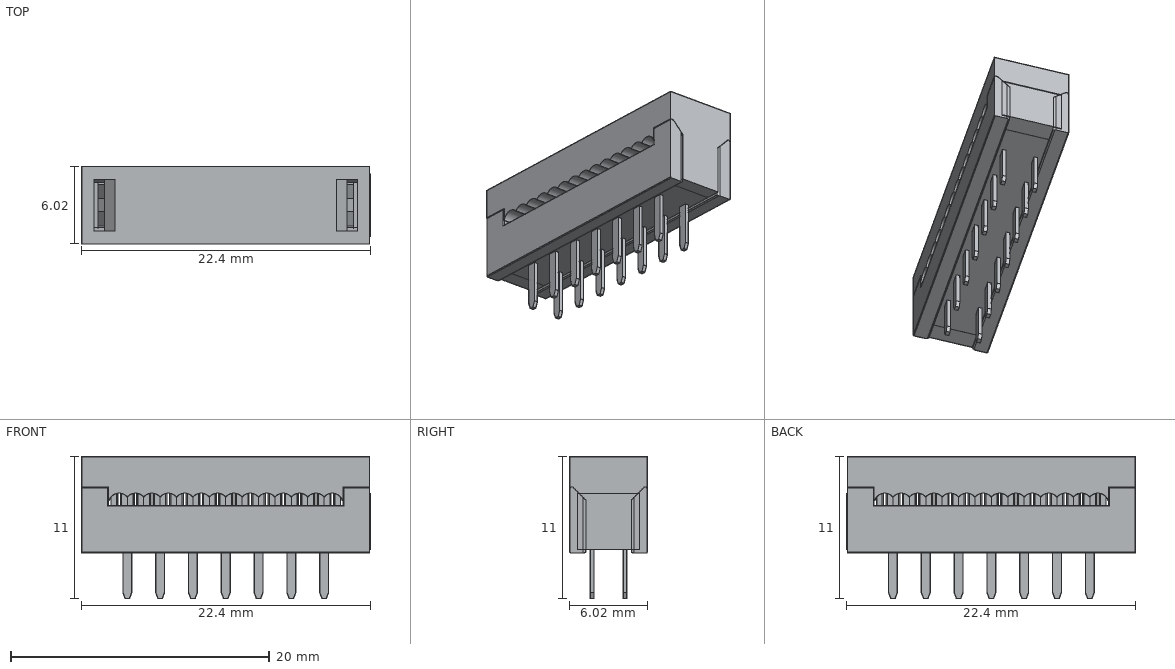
import cadquery as cq
import math


PITCH = 1.27
WIRE_COUNT = 14
LENGTH = 22.3
WIDTH = 6.02
TOP_Z = 7.47
SHOULDER_Z = TOP_Z - 2.37
PIN_TIP_Z = TOP_Z - 11.0
END_X = LENGTH / 2
SIDE_Y = WIDTH / 2

SLOT_HALF_X = 9.07
SLOT_FLOOR_Z = TOP_Z - 3.77
SCALLOP_TOP_Z = TOP_Z - 2.83
SCALLOP_RADIUS = 0.8
LIP_BOTTOM_Z = TOP_Z - 3.4
SCALLOP_AXIS_Z = SCALLOP_TOP_Z - SCALLOP_RADIUS
WIRE_X = [(i - (WIRE_COUNT - 1) / 2) * PITCH for i in range(WIRE_COUNT)]

TAB_THICKNESS = 1.25
TAB_HALF_Y = 1.76
TAB_BOTTOM_Z = 0.27
FLARE_HALF_Y = 2.76
FLARE_LOW_Z = SHOULDER_Z - (FLARE_HALF_Y - TAB_HALF_Y)
PAD_THICKNESS = 0.05
PAD_HALF_Y = 2.41
PAD_TOP_Z = TOP_Z - 2.87

WINDOW_OUTER = 0.94
WINDOW_INNER = 1.745
WINDOW_TOP_INNER = 2.56
WINDOW_TOP_HALF_Y = 1.99
WINDOW_LOW_HALF_Y = 1.75
WINDOW_TAPER_Z = SHOULDER_Z + 0.6
RAMP_LOW_Z = TOP_Z - (WINDOW_TOP_INNER - WINDOW_INNER)

HOOK_HALF_Y = 1.6
HOOK_MIDDLE_HALF_Y = 0.51
HOOK_DEPTH = WINDOW_INNER - TAB_THICKNESS
HOOK_SIDE_HEIGHT = HOOK_DEPTH * math.tan(math.radians(70))
HOOK_MIDDLE_HEIGHT = HOOK_DEPTH

EDGE_BREAK = 0.07
END_BREAK = 0.02
CORNER_CHAMFER_Y = 0.22
CORNER_CHAMFER_X = 0.1
SKIRT_CHAMFER_Y = 0.12

ROW_Y = PITCH
PIN_WIDTH = 0.7
PIN_THICKNESS = 0.3
PIN_TIP_WIDTH = 0.34
PIN_TAPER = 0.47
FORK_MOUTH_HALF = 0.2
FORK_THROAT_HALF = 0.09


def box(x0, x1, y0, y1, z0, z1):
    return cq.Workplane("XY").box(x1 - x0, y1 - y0, z1 - z0, centered=False).translate((x0, y0, z0))


def along_y(points, half_width):
    """Prism with an XZ outline, centred on Y = 0."""
    return cq.Workplane("XZ").polyline(points).close().extrude(half_width, both=True)


def along_x(points, x0, x1):
    """Prism with a YZ outline."""
    return cq.Workplane("YZ", origin=(x0, 0, 0)).polyline(points).close().extrude(x1 - x0)


def at_both_ends(shape):
    """A shape modelled at the -X end together with its mirror image at the +X end."""
    return shape.add(shape.mirror("YZ").vals()).combine()


def wire_channel():
    """Open space under the scallops, down to the slot floor."""
    channel = box(-SLOT_HALF_X, SLOT_HALF_X, -SIDE_Y, SIDE_Y, SLOT_FLOOR_Z, LIP_BOTTOM_Z)
    for x in WIRE_X:
        scallop = cq.Workplane("XZ", origin=(x, 0, SCALLOP_AXIS_Z)).circle(SCALLOP_RADIUS)
        channel = channel.union(scallop.extrude(SIDE_Y, both=True))
    limits = box(-SLOT_HALF_X, SLOT_HALF_X, -SIDE_Y, SIDE_Y, SLOT_FLOOR_Z, SHOULDER_Z)
    return channel.intersect(limits)


def end_tab():
    """Tab at the -X end; the same shape cuts the notch of the base."""
    outline = [
        (-TAB_HALF_Y, TAB_BOTTOM_Z),
        (TAB_HALF_Y, TAB_BOTTOM_Z),
        (TAB_HALF_Y, FLARE_LOW_Z),
        (FLARE_HALF_Y, SHOULDER_Z),
        (-FLARE_HALF_Y, SHOULDER_Z),
        (-TAB_HALF_Y, FLARE_LOW_Z),
    ]
    return along_x(outline, -END_X, -END_X + TAB_THICKNESS)


def window():
    """Window at the -X end: sloping inner wall, side walls drawing in near the bottom."""
    across = along_y(
        [
            (-END_X + WINDOW_OUTER, SHOULDER_Z),
            (-END_X + WINDOW_INNER, SHOULDER_Z),
            (-END_X + WINDOW_INNER, RAMP_LOW_Z),
            (-END_X + WINDOW_TOP_INNER, TOP_Z),
            (-END_X + WINDOW_OUTER, TOP_Z),
        ],
        SIDE_Y,
    )
    outer_part = along_x(
        [
            (-WINDOW_LOW_HALF_Y, SHOULDER_Z),
            (WINDOW_LOW_HALF_Y, SHOULDER_Z),
            (WINDOW_TOP_HALF_Y, WINDOW_TAPER_Z),
            (WINDOW_TOP_HALF_Y, TOP_Z),
            (-WINDOW_TOP_HALF_Y, TOP_Z),
            (-WINDOW_TOP_HALF_Y, WINDOW_TAPER_Z),
        ],
        -END_X,
        -END_X + WINDOW_INNER,
    )
    ramp_part = box(
        -END_X + WINDOW_INNER, -END_X + WINDOW_TOP_INNER,
        -WINDOW_TOP_HALF_Y, WINDOW_TOP_HALF_Y, SHOULDER_Z, TOP_Z,
    )
    return across.intersect(outer_part.union(ramp_part))


def hook():
    """Hook at the -X end: steep sides beside a 45 degree middle."""
    foot_x = -END_X + TAB_THICKNESS
    back_x = -END_X + WINDOW_INNER

    def wedge(height, half_width):
        outline = [(foot_x, SHOULDER_Z), (back_x, SHOULDER_Z), (back_x, SHOULDER_Z + height)]
        return along_y(outline, half_width)

    middle = box(foot_x, back_x, -HOOK_MIDDLE_HALF_Y, HOOK_MIDDLE_HALF_Y, SHOULDER_Z, TOP_Z)
    sides = wedge(HOOK_SIDE_HEIGHT, HOOK_HALF_Y).cut(middle)
    return sides.union(wedge(HOOK_MIDDLE_HEIGHT, HOOK_MIDDLE_HALF_Y))


def make_cover():
    cover = box(-END_X, END_X, -SIDE_Y, SIDE_Y, SHOULDER_Z, TOP_Z)
    lip = box(-SLOT_HALF_X, SLOT_HALF_X, -SIDE_Y, SIDE_Y, LIP_BOTTOM_Z, SHOULDER_Z)
    cover = cover.union(lip).union(at_both_ends(end_tab()))
    pad = box(END_X, END_X + PAD_THICKNESS, -PAD_HALF_Y, PAD_HALF_Y, TAB_BOTTOM_Z, PAD_TOP_Z)
    cover = cover.union(pad)
    return cover.cut(wire_channel()).cut(at_both_ends(window()))


def panel_face(inset, end_inset, y):
    """Wire around the long side of the base at a given Y, drawn in by the insets."""
    top = SHOULDER_Z - inset
    floor = SLOT_FLOOR_Z - inset
    slot = SLOT_HALF_X + inset
    end = END_X - end_inset
    points = [(-end, inset), (end, inset), (end, top), (slot, top)]
    points += [(slot, floor), (-slot, floor), (-slot, top), (-end, top)]
    wire = cq.Workplane("XZ", origin=(0, y, 0)).polyline(points).close()
    return wire.val()


def base_body():
    """Block with the wire slot, its two long outlines broken along every edge."""
    inner_y = SIDE_Y - EDGE_BREAK
    outline = panel_face(0, 0, inner_y)
    body = cq.Workplane(cq.Solid.extrudeLinear(outline, [], cq.Vector(0, -2 * inner_y, 0)))
    for side in (-1, 1):
        inner_face = panel_face(0, 0, side * inner_y)
        outer_face = panel_face(EDGE_BREAK, END_BREAK, side * SIDE_Y)
        rim = cq.Solid.makeLoft([inner_face, outer_face], True)
        body = body.union(cq.Workplane(rim))
    return body


def skirt_recess():
    """Recess along the underside between the two skirts, with broken edges."""
    outer = TAB_HALF_Y + SKIRT_CHAMFER_Y
    outline = [
        (-outer, 0),
        (outer, 0),
        (TAB_HALF_Y, EDGE_BREAK),
        (TAB_HALF_Y, TAB_BOTTOM_Z),
        (-TAB_HALF_Y, TAB_BOTTOM_Z),
        (-TAB_HALF_Y, EDGE_BREAK),
    ]
    return along_x(outline, -END_X, END_X)


def post_chamfers():
    """Corner cuts on the two posts beside the tab at the -X end."""
    outer = TAB_HALF_Y + CORNER_CHAMFER_Y
    inner_x = -END_X + CORNER_CHAMFER_X
    outline = [(-END_X, -outer), (-END_X, outer), (inner_x, TAB_HALF_Y), (inner_x, -TAB_HALF_Y)]
    return cq.Workplane("XY").polyline(outline).close().extrude(SHOULDER_Z)


def contact_pin(x, y):
    tip_shoulder = PIN_TIP_Z + PIN_TAPER
    outline = [
        (-PIN_TIP_WIDTH / 2, PIN_TIP_Z),
        (PIN_TIP_WIDTH / 2, PIN_TIP_Z),
        (PIN_WIDTH / 2, tip_shoulder),
        (PIN_WIDTH / 2, TAB_BOTTOM_Z),
        (-PIN_WIDTH / 2, TAB_BOTTOM_Z),
        (-PIN_WIDTH / 2, tip_shoulder),
    ]
    return along_y(outline, PIN_THICKNESS / 2).translate((x, y, 0))


def contact_fork(x, y):
    """Two tines either side of a wire, with edges bevelled towards the gap."""
    half = PIN_THICKNESS / 2
    tines = cq.Workplane("XY", origin=(x, y, SLOT_FLOOR_Z))
    for side in (-1, 1):
        tines = tines.polyline(
            [
                (side * PITCH / 2, -half),
                (side * FORK_MOUTH_HALF, -half),
                (side * FORK_THROAT_HALF, 0),
                (side * FORK_MOUTH_HALF, half),
                (side * PITCH / 2, half),
            ]
        ).close()
    return tines.extrude(SHOULDER_Z - SLOT_FLOOR_Z)


def make_base():
    base = base_body().cut(at_both_ends(end_tab())).cut(at_both_ends(post_chamfers()))
    base = base.cut(skirt_recess()).union(at_both_ends(hook()))
    channel = wire_channel()
    for i, wire_x in enumerate(WIRE_X):
        row = -1 if i % 2 else 1
        pin_x = wire_x + row * PITCH / 2
        base = base.union(contact_pin(pin_x, row * ROW_Y))
        base = base.union(contact_fork(wire_x, row * ROW_Y).intersect(channel))
    return base


cover = make_cover()
base = make_base()
result = cq.Compound.makeCompound([cover.solids().val(), base.solids().val()])